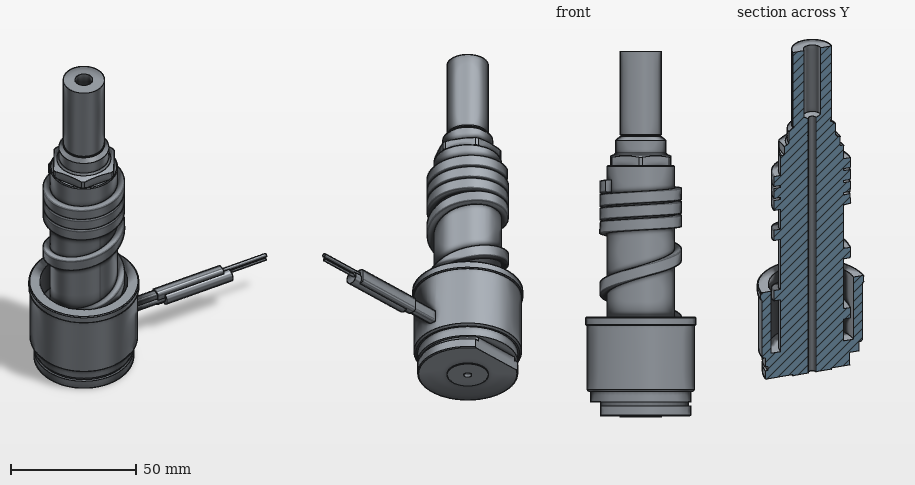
import cadquery as cq
import math

Z_BASE = 0.5
Z_RING_TOP = 4.5
Z_GROOVE_TOP = 6.1
Z_HOUSING_BOTTOM = 10.2
Z_CUP_FLOOR = 12.0
Z_FLANGE_BOTTOM = 36.6
Z_FLANGE_TOP = 40.0
Z_TUBE_TOP = 100.4
Z_HEX_SHOULDER = 103.7
Z_HEX_TOP = 104.7
Z_COLLAR_BOTTOM = 105.5
Z_COLLAR_SHOULDER = 110.5
Z_COLLAR_TOP = 112.0
Z_SHAFT_TOP = 146.0

SHAFT_R = 8.25
SHAFT_NECK_R = 7.95
SHAFT_NECK_HEIGHT = 0.4
COLLAR_R = 10.0
TUBE_R = 13.5
CUP_BORE_R = 17.5
GROOVE_R = 19.0
BASE_R = 20.0
HOUSING_R = 21.5
FLANGE_R = 22.0
EDGE_CHAMFER = 0.4
HOUSING_CHAMFER = 0.8

HEX_ACROSS_FLATS = 24.0
HEX_CONE_TOP_R = 10.8
BASE_FLAT_X = -16.0
BORE_R = 3.5
BORE_DEPTH = 30.0
PILOT_R = 1.6
DRILL_POINT_ANGLE = 118.0

SPRING_TUBE_OVERLAP = 0.2
SPRING_INNER_R = TUBE_R - SPRING_TUBE_OVERLAP
SPRING_OUTER_R = 16.3
SPRING_WIRE_HEIGHT = 4.7
SPRING_WIRE_ROUND = 0.3
SPRING_END_ANGLE = 211.0
SPRING_END_Z = 92.3
CLOSED_PITCH = 5.4
OPEN_PITCH = 27.2
CLOSED_TURNS = 3.04
TRANSITION_TURNS = 0.35
SPRING_FLOOR_OFFSET = 0.3
SPRING_BOTTOM_Z = Z_CUP_FLOOR + SPRING_FLOOR_OFFSET
SPRING_POINTS_PER_TURN = 12

CABLE_ROOT_Y = 19.5
SLEEVE_LENGTH = 30.0
SLEEVE_WALL = 0.55
CABLE_X = -1.35
CABLE_Z = 17.05
CABLE_WIDTH = 3.2
CABLE_HEIGHT = 5.2
CABLE_CORNER_R = 0.75
CABLE_SLEEVE_Y = 33.3

ROUND_CABLE_X = -0.05
ROUND_CABLE_Z = 15.95
ROUND_CABLE_R = 1.2
ROUND_SLEEVE_R = 2.55
ROUND_SLEEVE_Y = 36.5

LEAD_END_Y = 83.5
THICK_LEAD_X = -1.35
THICK_LEAD_Z = 18.3
THICK_LEAD_R = 0.75
THIN_LEAD_X = -1.5
THIN_LEAD_Z = 16.1
THIN_LEAD_R = 0.5


def disc(radius, z_bottom, z_top):
    """Upright cylinder on the spindle axis."""
    return cq.Workplane("XY").workplane(offset=z_bottom).circle(radius).extrude(z_top - z_bottom)


def make_housing():
    """Base ring with groove, and the cup with its flange."""
    ring = disc(BASE_R, Z_BASE, Z_RING_TOP).faces("<Z").chamfer(EDGE_CHAMFER)
    groove = disc(GROOVE_R, Z_RING_TOP, Z_GROOVE_TOP)
    base = ring.union(groove)
    flat_cut = cq.Workplane("XY").box(BASE_R, 2 * BASE_R, Z_GROOVE_TOP, centered=(False, True, False))
    base = base.cut(flat_cut.translate((BASE_FLAT_X - BASE_R, 0, 0)))

    step = disc(BASE_R, Z_GROOVE_TOP, Z_HOUSING_BOTTOM)
    body = disc(HOUSING_R, Z_HOUSING_BOTTOM, Z_FLANGE_BOTTOM).faces("<Z").chamfer(HOUSING_CHAMFER)
    flange = disc(FLANGE_R, Z_FLANGE_BOTTOM, Z_FLANGE_TOP).edges().chamfer(EDGE_CHAMFER)
    cup_bore = disc(CUP_BORE_R, Z_CUP_FLOOR, Z_FLANGE_TOP)
    return base.union(step).union(body).union(flange).cut(cup_bore)


def make_hexagon():
    """Hexagon with corners on +Y and -Y, turned to the tube radius and chamfered on top."""
    height = Z_HEX_TOP - Z_TUBE_TOP
    prism = (
        cq.Workplane("XY")
        .workplane(offset=Z_TUBE_TOP)
        .polygon(6, HEX_ACROSS_FLATS, circumscribed=True)
        .extrude(height)
    )
    envelope = (
        cq.Workplane("XZ")
        .moveTo(0, Z_TUBE_TOP)
        .lineTo(TUBE_R, Z_TUBE_TOP)
        .lineTo(TUBE_R, Z_HEX_SHOULDER)
        .lineTo(HEX_CONE_TOP_R, Z_HEX_TOP)
        .lineTo(0, Z_HEX_TOP)
        .close()
        .revolve(360, (0, 0), (0, 1))
    )
    return prism.intersect(envelope)


def make_shaft():
    """Flared collar and shaft above the hexagon."""
    return (
        cq.Workplane("XZ")
        .moveTo(0, Z_HEX_TOP)
        .lineTo(HEX_CONE_TOP_R, Z_HEX_TOP)
        .lineTo(COLLAR_R, Z_COLLAR_BOTTOM)
        .lineTo(COLLAR_R, Z_COLLAR_SHOULDER)
        .lineTo(SHAFT_R, Z_COLLAR_TOP)
        .lineTo(SHAFT_NECK_R, Z_COLLAR_TOP)
        .lineTo(SHAFT_NECK_R, Z_COLLAR_TOP + SHAFT_NECK_HEIGHT)
        .lineTo(SHAFT_R, Z_COLLAR_TOP + 2 * SHAFT_NECK_HEIGHT)
        .lineTo(SHAFT_R, Z_SHAFT_TOP)
        .lineTo(0, Z_SHAFT_TOP)
        .close()
        .revolve(360, (0, 0), (0, 1))
    )


def make_spindle():
    """Core stub, tube, hexagon and shaft."""
    stub = disc(SHAFT_R, 0, Z_CUP_FLOOR)
    tube = disc(TUBE_R, Z_BASE, Z_TUBE_TOP).faces(">Z").chamfer(EDGE_CHAMFER)
    return stub.union(tube).union(make_hexagon()).union(make_shaft())


def make_bore():
    """Pilot hole right through, opened to a drilled bore with a pointed end at the shaft top."""
    bore_bottom = Z_SHAFT_TOP - BORE_DEPTH
    point_depth = BORE_R / math.tan(math.radians(DRILL_POINT_ANGLE / 2))
    drill = (
        cq.Workplane("XZ")
        .moveTo(0, bore_bottom - point_depth)
        .lineTo(BORE_R, bore_bottom)
        .lineTo(BORE_R, Z_SHAFT_TOP)
        .lineTo(0, Z_SHAFT_TOP)
        .close()
        .revolve(360, (0, 0), (0, 1))
    )
    return drill.union(disc(PILOT_R, 0, Z_SHAFT_TOP))


def spring_drop(turns):
    """Distance the wire has descended after the given turns from its upper end."""
    extra_pitch = OPEN_PITCH - CLOSED_PITCH
    past_closed = max(0.0, turns - CLOSED_TURNS)
    blended = min(past_closed, TRANSITION_TURNS)
    opening = extra_pitch * (blended ** 2 / (2 * TRANSITION_TURNS) + past_closed - blended)
    return CLOSED_PITCH * turns + opening


def make_spring():
    """Rectangular wire swept along a right-handed coil that opens toward the bottom."""
    middle_r = (SPRING_INNER_R + SPRING_OUTER_R) / 2
    total_drop = SPRING_END_Z - SPRING_BOTTOM_Z
    drop_before_open = spring_drop(CLOSED_TURNS + TRANSITION_TURNS)
    total_turns = CLOSED_TURNS + TRANSITION_TURNS + (total_drop - drop_before_open) / OPEN_PITCH

    def coil_point(turns):
        angle = -2 * math.pi * turns
        return (middle_r * math.cos(angle), middle_r * math.sin(angle), SPRING_END_Z - spring_drop(turns))

    step_count = math.ceil(SPRING_POINTS_PER_TURN * total_turns)
    coil_points = [coil_point(total_turns * step / step_count) for step in range(step_count + 1)]
    path = cq.Workplane("XY").spline(coil_points)
    wire_section = (
        cq.Sketch()
        .rect(SPRING_OUTER_R - SPRING_INNER_R, SPRING_WIRE_HEIGHT)
        .vertices()
        .fillet(SPRING_WIRE_ROUND)
    )
    coil = (
        cq.Workplane("XZ", origin=(middle_r, 0, SPRING_END_Z))
        .placeSketch(wire_section)
        .sweep(path, isFrenet=True)
    )
    return coil.rotate((0, 0, 0), (0, 0, 1), SPRING_END_ANGLE)


def along_y(x, y_start, z):
    """Sketch plane square to the cables; its normal is -Y, so negative extrusion runs toward +Y."""
    return cq.Workplane("XZ", origin=(x, y_start, z))


def make_flat_cable_piece(wall, y_start, y_end):
    """Length of the flat cable, grown on every side by the given wall."""
    return (
        along_y(CABLE_X, y_start, CABLE_Z)
        .rect(CABLE_WIDTH + 2 * wall, CABLE_HEIGHT + 2 * wall)
        .extrude(y_start - y_end)
        .edges("|Y")
        .fillet(CABLE_CORNER_R + wall)
    )


def make_rod(x, z, radius, y_start, y_end):
    """Round rod parallel to Y."""
    return along_y(x, y_start, z).circle(radius).extrude(y_start - y_end)


def make_cables():
    """Flat and round cable, each with a sleeve, and the two bare leads."""
    cable_sleeve_end = CABLE_SLEEVE_Y + SLEEVE_LENGTH
    round_sleeve_end = ROUND_SLEEVE_Y + SLEEVE_LENGTH
    cables = make_flat_cable_piece(0, CABLE_ROOT_Y, cable_sleeve_end)
    cables = cables.union(make_flat_cable_piece(SLEEVE_WALL, CABLE_SLEEVE_Y, cable_sleeve_end))
    rods = (
        (ROUND_CABLE_X, ROUND_CABLE_Z, ROUND_CABLE_R, CABLE_ROOT_Y, round_sleeve_end),
        (ROUND_CABLE_X, ROUND_CABLE_Z, ROUND_SLEEVE_R, ROUND_SLEEVE_Y, round_sleeve_end),
        (THICK_LEAD_X, THICK_LEAD_Z, THICK_LEAD_R, CABLE_SLEEVE_Y, LEAD_END_Y),
        (THIN_LEAD_X, THIN_LEAD_Z, THIN_LEAD_R, ROUND_SLEEVE_Y, LEAD_END_Y),
    )
    for x, z, radius, y_start, y_end in rods:
        cables = cables.union(make_rod(x, z, radius, y_start, y_end))
    return cables


result = (
    make_housing()
    .union(make_spindle())
    .union(make_cables())
    .cut(make_bore())
    .union(make_spring())
)